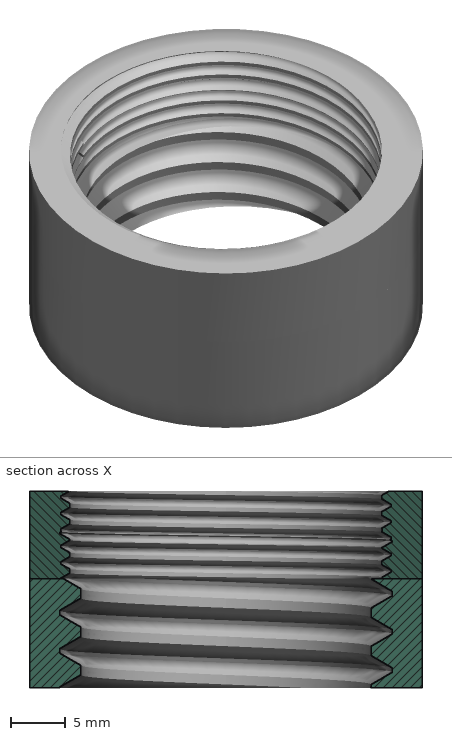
import cadquery as cq
import math

outer_diameter = 36.0
total_height = 18.0
lower_height = 10.0
upper_height = total_height - lower_height

coarse_pitch = 3.5
coarse_bore = 26.5
coarse_root = 30.4
coarse_start = -1.0

fine_pitch = 1.5
fine_bore = 28.5
fine_root = 30.2
fine_start = 9.55

relief_turn = 3
relief_root = 30.4
relief_drop = 0.3
relief_angle = -135

flank_angle = math.radians(30)
crest_fraction = 0.25
overcut = 0.1
bore_overrun = 0.35


def cylinder(base, height, diameter):
    """Solid cylinder on the Z axis."""
    return cq.Workplane("XY", origin=(0, 0, base)).circle(diameter / 2).extrude(height)


def thread_groove(pitch, bore, root, start, turns):
    """Right-hand helical trapezoid that cuts the thread groove."""
    bore_radius = bore / 2
    root_radius = root / 2
    mouth_half = pitch * (1 - crest_fraction) / 2
    root_half = mouth_half - (root_radius - bore_radius) * math.tan(flank_angle)
    inner_half = mouth_half + overcut * math.tan(flank_angle)
    inner_radius = bore_radius - overcut
    path = cq.Wire.makeHelix(pitch, pitch * turns, bore_radius).translate(cq.Vector(0, 0, start))
    return (
        cq.Workplane("XZ")
        .polyline([
            (inner_radius, start - inner_half),
            (root_radius, start - root_half),
            (root_radius, start + root_half),
            (inner_radius, start + inner_half),
        ])
        .close()
        .sweep(cq.Workplane(obj=path), isFrenet=True)
    )


def threaded_ring(base, height, pitch, bore, root, start):
    """Ring whose bore is threaded from end to end."""
    turns = math.ceil((base + height + pitch - start) / pitch)
    groove = thread_groove(pitch, bore, root, start, turns)
    blank = cylinder(base, height, outer_diameter)
    bore_cutter = cylinder(base - bore_overrun, height + 2 * bore_overrun, bore)
    return blank.cut(groove).cut(bore_cutter)


def relief_groove():
    """One lowered and deepened turn of the fine groove."""
    begin = fine_start + (relief_turn + relief_angle / 360) * fine_pitch - relief_drop
    groove = thread_groove(fine_pitch, fine_bore, relief_root, begin, 1)
    return groove.rotate((0, 0, 0), (0, 0, 1), relief_angle)


lower_ring = threaded_ring(
    0, lower_height, coarse_pitch, coarse_bore, coarse_root, coarse_start - coarse_pitch
)
upper_ring = threaded_ring(
    lower_height, upper_height, fine_pitch, fine_bore, fine_root, fine_start - fine_pitch
).cut(relief_groove())

result = cq.Compound.makeCompound([lower_ring.val(), upper_ring.val()])